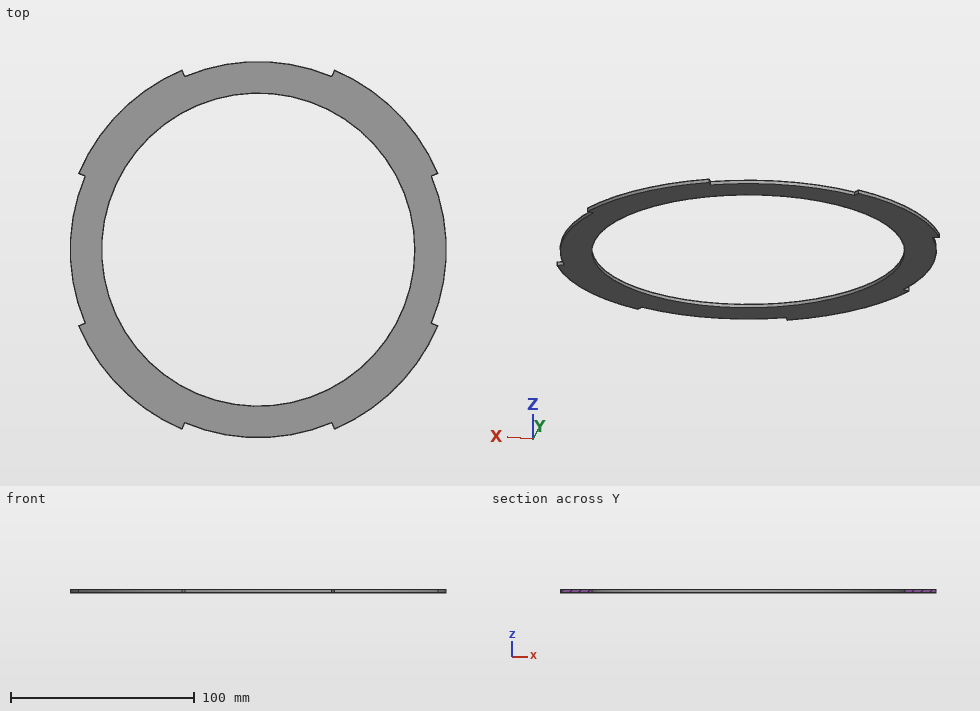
import cadquery as cq

thickness = 2.0
bore_diameter = 170.0
ring_diameter = 204.4
tab_diameter = 212.0
notch_count = 4
notch_span = 46.0

notch_pitch = 360.0 / notch_count
cut_margin = 1.0


def washer():
    """Flat ring around Z, as wide as the tabs, with its lower face on the XY plane."""
    return (
        cq.Workplane("XY")
        .circle(tab_diameter / 2)
        .circle(bore_diameter / 2)
        .extrude(thickness)
    )


def notch(center_angle):
    """Cutter with radial ends that lowers one stretch of the rim to the ring diameter."""
    inner_radius = ring_diameter / 2
    outer_radius = tab_diameter / 2 + cut_margin
    radial_depth = outer_radius - inner_radius
    return (
        cq.Workplane("XZ")
        .center(inner_radius, -cut_margin)
        .rect(radial_depth, thickness + 2 * cut_margin, centered=False)
        .revolve(notch_span, (-inner_radius, 0, 0), (-inner_radius, 1, 0))
        .rotate((0, 0, 0), (0, 0, 1), center_angle - notch_span / 2)
    )


result = washer()
for index in range(notch_count):
    result = result.cut(notch(index * notch_pitch))